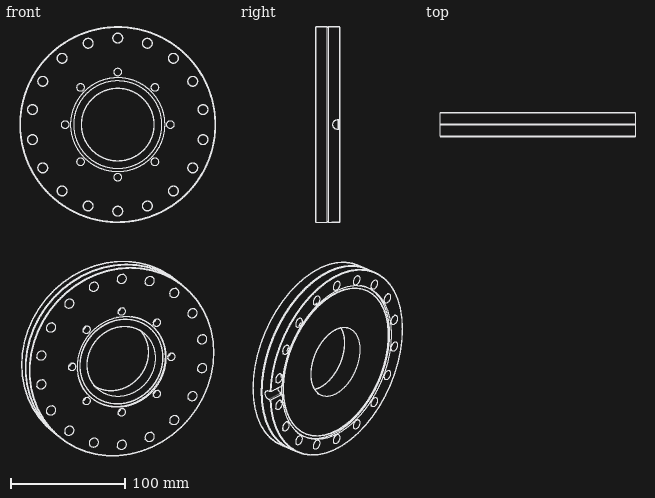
import cadquery as cq
import math

outer_diameter = 171.5
thickness = 21.3
edge_chamfer = 0.5
bore_diameter = 63.5

rim_groove_width = 1.0
rim_groove_depth = 0.5

front_recess_diameter = 82.5
rear_recess_diameter = 141.8
knife_edge_inset = 2.7
recess_floor_depth = 1.4
recess_wall_depth = 2.2
knife_tip_depth = 0.7

notch_width = 8.2
notch_depth = 6.3

bolt_count = 18
bolt_diameter = 8.4
bolt_circle_diameter = 151.6

blind_count = 8
blind_diameter = 6.7
blind_circle_diameter = 92.1
blind_depth = 12.0
drill_point_angle = 118.0

front_y = -thickness / 2
rear_y = thickness / 2


def revolve_about_y(profile):
    return cq.Workplane("XY").polyline(profile).close().revolve(360, (0, 0, 0), (0, 1, 0))


def repeat_around_axis(tool, count, circle_diameter):
    """Copies of a tool built on the Y axis, the first one straight above the centre."""
    first = tool.translate((0, 0, circle_diameter / 2))
    copies = cq.Workplane("XY")
    for index in range(count):
        copies = copies.add(first.rotate((0, 0, 0), (0, 1, 0), index * 360 / count))
    return copies.combine()


def make_body():
    body = (
        cq.Workplane("XZ", origin=(0, front_y, 0))
        .circle(outer_diameter / 2)
        .circle(bore_diameter / 2)
        .extrude(-thickness)
    )
    outer_rims = cq.selectors.RadiusNthSelector(-1)
    return body.edges(outer_rims).chamfer(edge_chamfer)


def make_rim_groove():
    radius = outer_diameter / 2
    half_width = rim_groove_width / 2
    return (
        cq.Workplane("XY")
        .moveTo(radius, -half_width)
        .threePointArc((radius - rim_groove_depth, 0), (radius, half_width))
        .close()
        .revolve(360, (0, 0, 0), (0, 1, 0))
    )


def make_seal_recess(diameter):
    wall_radius = diameter / 2
    knife_radius = wall_radius - knife_edge_inset
    return revolve_about_y([
        (0, front_y),
        (wall_radius, front_y),
        (wall_radius, front_y + recess_wall_depth),
        (knife_radius, front_y + knife_tip_depth),
        (knife_radius, front_y + recess_floor_depth),
        (0, front_y + recess_floor_depth),
    ])


def make_leak_notch():
    inner_x = rear_recess_diameter / 2 - knife_edge_inset / 2
    half_width = notch_width / 2
    bottom_y = rear_y - notch_depth
    arc_y = bottom_y + half_width
    return (
        cq.Workplane("YZ", origin=(inner_x, 0, 0))
        .moveTo(rear_y, -half_width)
        .lineTo(arc_y, -half_width)
        .threePointArc((bottom_y, 0), (arc_y, half_width))
        .lineTo(rear_y, half_width)
        .close()
        .extrude(outer_diameter / 2 - inner_x)
    )


def make_bolt_holes():
    r = bolt_diameter / 2
    hole = revolve_about_y([(0, front_y), (r, front_y), (r, rear_y), (0, rear_y)])
    return repeat_around_axis(hole, bolt_count, bolt_circle_diameter)


def make_blind_holes():
    r = blind_diameter / 2
    shoulder_y = front_y + blind_depth
    tip_y = shoulder_y + r / math.tan(math.radians(drill_point_angle / 2))
    hole = revolve_about_y([(0, front_y), (r, front_y), (r, shoulder_y), (0, tip_y)])
    return repeat_around_axis(hole, blind_count, blind_circle_diameter)


front_recess = make_seal_recess(front_recess_diameter)
rear_recess = make_seal_recess(rear_recess_diameter).mirror("XZ")

result = (
    make_body()
    .cut(make_rim_groove())
    .cut(front_recess)
    .cut(rear_recess)
    .cut(make_leak_notch())
    .cut(make_bolt_holes())
    .cut(make_blind_holes())
)